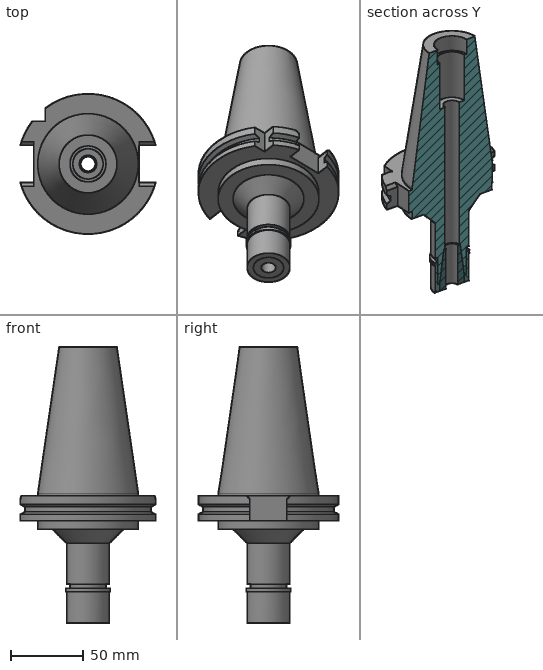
import cadquery as cq
import math


gauge_dia = 69.85
taper_length = 101.75
taper_ratio = 7 / 24
taper_top_dia = gauge_dia - taper_ratio * taper_length

flange_dia = 97.5
flange_top_z = -1.5
flange_bottom_z = -19.1
groove_center_z = -11.1
groove_width = 7.0
groove_floor_dia = 91.25
groove_half_angle = math.radians(30)
groove_floor_width = groove_width - (flange_dia - groove_floor_dia) * math.tan(groove_half_angle)

slot_width = 25.7
slot_chamfer = 2.5
left_slot_floor_x = 37.7
right_slot_floor_x = 35.5
notch_offset = 29.7

hub_dia = 70.0
hub_bottom_z = -24.9
shank_dia = 29.8
shank_top_z = -34.6
cone_top_dia = shank_dia + 2 * (hub_bottom_z - shank_top_z)
shank_bottom_z = -62.9
spigot_dia = 25.2
spigot_bottom_z = -84.0

counterbore_dia = 25.0
counterbore_depth = 11.5
thread_bore_dia = 21.0
thread_bore_depth = 47.5
through_bore_dia = 12.0

nut_dia = 29.8
nut_collar_dia = 31.0
nut_top_z = -65.8
collar_bottom_z = -68.3
nut_bottom_z = -90.0

collet_length = 31.5
collet_front_dia = 21.0
collet_bore_dia = 10.0
collet_half_angle = math.radians(8)
collet_top_z = nut_bottom_z + collet_length
collet_back_dia = collet_front_dia - 2 * (collet_top_z - spigot_bottom_z) * math.tan(collet_half_angle)


def revolve_profile(points):
    """Turn a closed (diameter, z) outline about the Z axis."""
    outline = [(diameter / 2, z) for diameter, z in points]
    return cq.Workplane("XZ").polyline(outline).close().revolve(360, (0, 0, 0), (0, 1, 0))


def drive_slot(side, floor_x):
    """Cutter for one drive slot on the +X or -X side, flared at its upper edges."""
    half_width = slot_width / 2
    flared_half_width = half_width + slot_chamfer
    reach = flange_dia / 2
    return (
        cq.Workplane("YZ", origin=(side * floor_x, 0, 0))
        .polyline([
            (-half_width, flange_bottom_z),
            (half_width, flange_bottom_z),
            (half_width, flange_top_z - slot_chamfer),
            (flared_half_width, flange_top_z),
            (-flared_half_width, flange_top_z),
            (-half_width, flange_top_z - slot_chamfer),
        ])
        .close()
        .extrude(side * reach)
    )


def orientation_notch():
    """Square corner cutter on the -X, +Y side of the flange."""
    size = flange_dia / 2
    return (
        cq.Workplane("XY", origin=(0, 0, flange_bottom_z))
        .rect(size, size)
        .extrude(flange_top_z - flange_bottom_z)
        .translate((-notch_offset - size / 2, notch_offset + size / 2, 0))
    )


def collet_blank():
    """Solid collet shape: 8 degree cone with a straight front land."""
    return revolve_profile([
        (0, nut_bottom_z),
        (collet_front_dia, nut_bottom_z),
        (collet_front_dia, spigot_bottom_z),
        (collet_back_dia, collet_top_z),
        (0, collet_top_z),
    ])


def make_holder():
    """Taper, flange, hub, shank and spigot as one turned body."""
    body = revolve_profile([
        (0, taper_length),
        (taper_top_dia, taper_length),
        (gauge_dia, 0),
        (gauge_dia, flange_top_z),
        (flange_dia, flange_top_z),
        (flange_dia, groove_center_z + groove_width / 2),
        (groove_floor_dia, groove_center_z + groove_floor_width / 2),
        (groove_floor_dia, groove_center_z - groove_floor_width / 2),
        (flange_dia, groove_center_z - groove_width / 2),
        (flange_dia, flange_bottom_z),
        (hub_dia, flange_bottom_z),
        (hub_dia, hub_bottom_z),
        (cone_top_dia, hub_bottom_z),
        (shank_dia, shank_top_z),
        (shank_dia, shank_bottom_z),
        (spigot_dia, shank_bottom_z),
        (spigot_dia, spigot_bottom_z),
        (0, spigot_bottom_z),
    ])
    bore = revolve_profile([
        (0, taper_length),
        (counterbore_dia, taper_length),
        (counterbore_dia, taper_length - counterbore_depth),
        (thread_bore_dia, taper_length - counterbore_depth),
        (thread_bore_dia, taper_length - thread_bore_depth),
        (through_bore_dia, taper_length - thread_bore_depth),
        (through_bore_dia, collet_top_z),
        (0, collet_top_z),
    ])
    return (
        body.cut(bore)
        .cut(collet_blank())
        .cut(drive_slot(-1, left_slot_floor_x))
        .cut(drive_slot(1, right_slot_floor_x))
        .cut(orientation_notch())
    )


def make_nut():
    """Cap nut over the spigot, with a narrow collar at its upper edge."""
    return revolve_profile([
        (spigot_dia, nut_top_z),
        (nut_collar_dia, nut_top_z),
        (nut_collar_dia, collar_bottom_z),
        (nut_dia, collar_bottom_z),
        (nut_dia, nut_bottom_z),
        (collet_front_dia, nut_bottom_z),
        (collet_front_dia, spigot_bottom_z),
        (spigot_dia, spigot_bottom_z),
    ])


def make_collet():
    """Collet with a plain tool bore through it."""
    tool_bore = (
        cq.Workplane("XY", origin=(0, 0, nut_bottom_z))
        .circle(collet_bore_dia / 2)
        .extrude(collet_length)
    )
    return collet_blank().cut(tool_bore)


holder = make_holder()
nut = make_nut()
collet = make_collet()

result = cq.Compound.makeCompound([holder.val(), nut.val(), collet.val()])